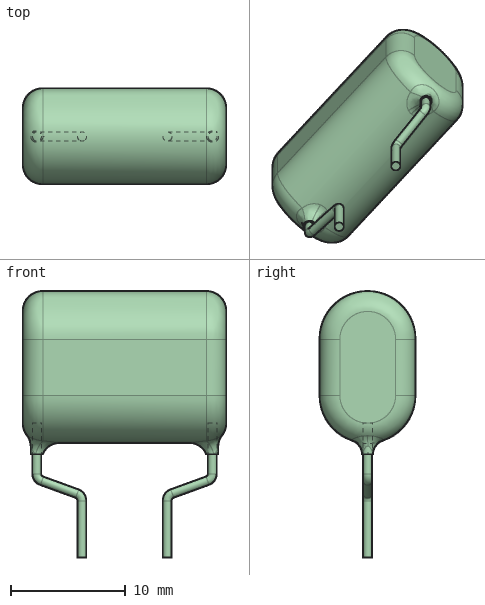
import cadquery as cq
import math

TOTAL_HEIGHT = 23.3
BODY_LENGTH = 17.8
BODY_DEPTH = 8.4
FLAT_HEIGHT = 4.9
END_ROUND = 1.77
BODY_HEIGHT = FLAT_HEIGHT + BODY_DEPTH
BODY_BOTTOM = TOTAL_HEIGHT - BODY_HEIGHT
BODY_MIDDLE = TOTAL_HEIGHT - BODY_HEIGHT / 2

LEAD_DIAMETER = 0.8
UPPER_LEAD_X = 7.67
LOWER_LEAD_X = 3.73
LOWER_BEND_START = 4.99
SLOPE_ANGLE = 20.0
BEND_RADIUS = 0.65

COLLAR_RADIUS = 0.5
COLLAR_CENTER_X = 7.71
COLLAR_BOTTOM = 9.02
COLLAR_FLARE = 1.5
STUB_BOTTOM = COLLAR_BOTTOM - COLLAR_RADIUS

LEAD_TOP = BODY_BOTTOM + END_ROUND
SIDES = (-1, 1)


def make_lead(side):
    """Round wire with a vertical leg, an oblique leg and another vertical leg."""
    turn = math.radians(90 - SLOPE_ANGLE)
    arc_run = BEND_RADIUS * (1 - math.cos(turn))
    arc_drop = BEND_RADIUS * math.sin(turn)
    mid_run = BEND_RADIUS * (1 - math.cos(turn / 2))
    mid_rise = BEND_RADIUS * math.sin(turn / 2)
    slope_run = UPPER_LEAD_X - LOWER_LEAD_X - 2 * arc_run
    slope_rise = slope_run * math.tan(math.radians(SLOPE_ANGLE))
    upper_bend_start = LOWER_BEND_START + 2 * arc_drop + slope_rise

    path = (
        cq.Workplane("XZ")
        .moveTo(side * LOWER_LEAD_X, 0)
        .lineTo(side * LOWER_LEAD_X, LOWER_BEND_START)
        .threePointArc(
            (side * (LOWER_LEAD_X + mid_run), LOWER_BEND_START + mid_rise),
            (side * (LOWER_LEAD_X + arc_run), LOWER_BEND_START + arc_drop),
        )
        .lineTo(side * (UPPER_LEAD_X - arc_run), upper_bend_start - arc_drop)
        .threePointArc(
            (side * (UPPER_LEAD_X - mid_run), upper_bend_start - mid_rise),
            (side * UPPER_LEAD_X, upper_bend_start),
        )
        .lineTo(side * UPPER_LEAD_X, LEAD_TOP)
    )
    profile = cq.Workplane("XY").center(side * LOWER_LEAD_X, 0).circle(LEAD_DIAMETER / 2)
    return profile.sweep(path)


def make_capsule():
    """Obround block with both ends rounded over."""
    return (
        cq.Workplane("YZ")
        .center(0, BODY_MIDDLE)
        .slot2D(BODY_HEIGHT, BODY_DEPTH, 90)
        .extrude(BODY_LENGTH / 2, both=True)
        .faces("<X or >X")
        .edges()
        .fillet(END_ROUND)
    )


def add_collar(body, side):
    """Stub around one lead, blended into the underside of the body."""
    center_x = side * COLLAR_CENTER_X
    stub = (
        cq.Workplane("XY", origin=(center_x, 0, STUB_BOTTOM))
        .circle(COLLAR_RADIUS)
        .extrude(LEAD_TOP - STUB_BOTTOM)
    )
    reach = 2 * COLLAR_RADIUS
    joint_edges = cq.selectors.BoxSelector(
        (center_x - reach, -reach, COLLAR_BOTTOM),
        (center_x + reach, reach, LEAD_TOP),
        boundingbox=True,
    )
    return body.union(stub).edges(joint_edges).fillet(COLLAR_FLARE)


def trim_collars(body):
    """Cut both collars off flat at their finished height."""
    waste = cq.Workplane("XY").box(
        BODY_LENGTH, BODY_DEPTH, COLLAR_BOTTOM, centered=(True, True, False)
    )
    return body.cut(waste)


leads = [make_lead(side) for side in SIDES]

body = make_capsule()
for side in SIDES:
    body = add_collar(body, side)
body = trim_collars(body)
for lead in leads:
    body = body.cut(lead)

result = cq.Compound.makeCompound([body.val(), *[lead.val() for lead in leads]])